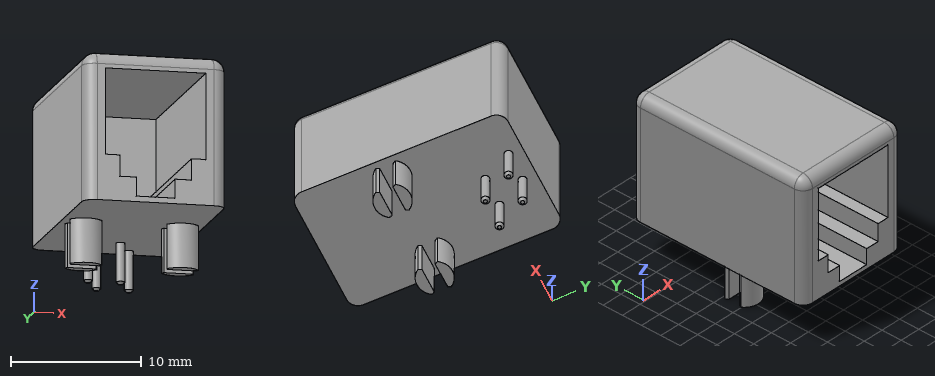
import cadquery as cq
import math

width = 11.2
length = 18.0
total_height = 15.2
peg_length = 3.5
body_height = total_height - peg_length
edge_radius = 0.99

opening_top = body_height - 1.31
cavity_width = 7.9
upper_step_z = 3.6
upper_step_width = 5.65
lower_step_z = 1.93
lower_step_width = 3.06
cavity_floor_z = 0.43
back_wall = (width - cavity_width) / 2
cavity_depth = length - back_wall

peg_diameter = 3.0
peg_spacing = 7.63
peg_y = -1.15
slot_width = 1.12
slot_mouth_width = 1.65
slot_flare_depth = 0.13

pin_diameter = 0.7
pin_length = 3.25
pin_tip_chamfer = 0.2
pin_pitch = 1.28
pin_count = 4
near_row_y = 5.22
row_spacing = 2 * pin_pitch

root_overlap = 0.18


def make_housing():
    block = cq.Workplane("XY").box(width, length, body_height, centered=(True, True, False))
    return block.edges("|Z or >Z").fillet(edge_radius)


def make_cavity():
    """Stack of three centred slots, each narrower than the one above it."""
    levels = [
        (upper_step_z, cavity_width),
        (lower_step_z, upper_step_width),
        (cavity_floor_z, lower_step_width),
    ]
    cavity = cq.Workplane("XY")
    for floor_z, level_width in levels:
        level = cq.Workplane("XY").box(
            level_width, cavity_depth, opening_top - floor_z, centered=(True, False, False)
        )
        cavity = cavity.union(level.translate((0, -length / 2, floor_z)))
    return cavity


def make_peg(x):
    """Round peg split along X by a slot whose two ends flare out to the peg surface."""
    end_x = peg_diameter / 2
    mouth_y = slot_mouth_width / 2
    throat_y = slot_width / 2
    mouth_x = math.sqrt(end_x**2 - mouth_y**2)
    throat_x = mouth_x - slot_flare_depth
    left_edge = [(-end_x, mouth_y), (-mouth_x, mouth_y), (-throat_x, throat_y)]
    upper_edge = left_edge + [(-px, py) for px, py in reversed(left_edge)]
    slot_outline = upper_edge + [(px, -py) for px, py in reversed(upper_edge)]

    base = cq.Workplane("XY").workplane(offset=-peg_length)
    peg = base.circle(peg_diameter / 2).extrude(peg_length + root_overlap)
    slot = base.polyline(slot_outline).close().extrude(peg_length)
    return peg.cut(slot).translate((x, peg_y, 0))


def make_pin(x, y):
    pin = cq.Workplane("XY").workplane(offset=-pin_length)
    pin = pin.circle(pin_diameter / 2).extrude(pin_length + root_overlap)
    return pin.faces("<Z").chamfer(pin_tip_chamfer).translate((x, y, 0))


result = make_housing().cut(make_cavity())

for side in (-1, 1):
    result = result.union(make_peg(side * peg_spacing / 2))

for index in range(pin_count):
    pin_x = (index - (pin_count - 1) / 2) * pin_pitch
    pin_y = near_row_y + (index % 2) * row_spacing
    result = result.union(make_pin(pin_x, pin_y))